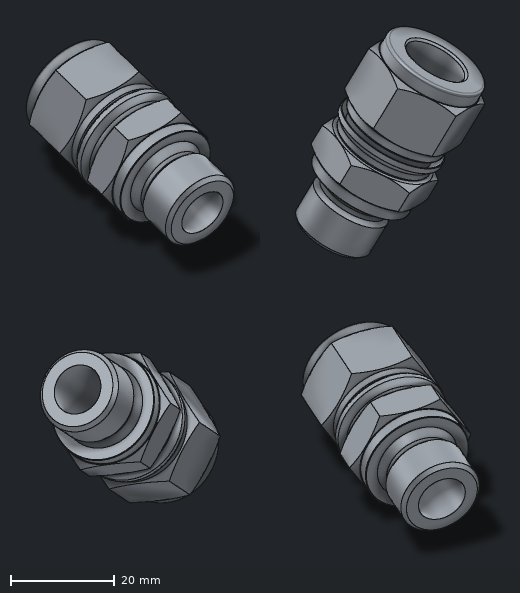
import cadquery as cq
import math

length = 43.2
hex_corner_dia = 25.65
hex_face_dia = 22.1
hex_bevel_angle = 30.0

nut_collar_dia = 21.77
nut_collar_fillet = 0.55
nut_hex_start = 3.0
nut_hex_end = 15.1
nut_tail_dia = 21.5
nut_tail_end = 17.1
nut_tail_chamfer_length = 0.3
nut_tail_chamfer_height = 0.17

neck_dia = 18.9
flange_dia = 23.0
flange_start = 17.85
flange_rim_end = 19.05
flange_hub_dia = 20.6
flange_hub_start = 20.3
flange_hub_end = 21.65
flange_hub_tip_dia = 20.05
flange_rim_width = 0.25

body_hex_start = 22.05
body_hex_end = 28.7
shoulder_dia = 21.77
shoulder_end = 31.15
shoulder_chamfer = 0.15

cone_dia = 16.85
groove_dia = 14.7
groove_start = 33.1
groove_end = 34.15
thread_dia = 16.65
thread_start = 35.1
thread_chamfer = 0.8

bore_dia = 9.9
socket_dia = 12.9
socket_depth = 22.9
socket_chamfer = 0.48


def round_stock(start, end, diameter):
    return cq.Workplane("YZ", origin=(start, 0, 0)).circle(diameter / 2).extrude(end - start)


def revolved(profile):
    """Revolve a closed outline of (x, radius) points about the X axis."""
    return cq.Workplane("XY").polyline(profile).close().revolve(360, (0, 0, 0), (1, 0, 0))


def bevelled_hex(start, end, start_face_dia, end_face_dia):
    """Hexagon with corners on +Y and -Y, coned at both ends down to round faces."""
    corner_radius = hex_corner_dia / 2
    bevel_slope = math.tan(math.radians(hex_bevel_angle))
    start_bevel = (corner_radius - start_face_dia / 2) * bevel_slope
    end_bevel = (corner_radius - end_face_dia / 2) * bevel_slope
    prism = cq.Workplane("YZ", origin=(start, 0, 0)).polygon(6, hex_corner_dia).extrude(end - start)
    envelope = revolved([
        (start, 0),
        (start, start_face_dia / 2),
        (start + start_bevel, corner_radius),
        (end - end_bevel, corner_radius),
        (end, end_face_dia / 2),
        (end, 0),
    ])
    return prism.intersect(envelope)


def tube_nut():
    collar = round_stock(0, nut_hex_start, nut_collar_dia).faces("<X").edges().fillet(nut_collar_fillet)
    tail = revolved([
        (nut_hex_end, 0),
        (nut_hex_end, nut_tail_dia / 2),
        (nut_tail_end - nut_tail_chamfer_length, nut_tail_dia / 2),
        (nut_tail_end, nut_tail_dia / 2 - nut_tail_chamfer_height),
        (nut_tail_end, 0),
    ])
    hexagon = bevelled_hex(nut_hex_start, nut_hex_end, hex_face_dia, nut_tail_dia)
    return collar.union(hexagon).union(tail)


def sealing_flange():
    """Cupped flange: a 45 degree recess around the neck opens towards the nut."""
    cup_mouth_radius = flange_dia / 2 - flange_rim_width
    cup_depth = cup_mouth_radius - neck_dia / 2
    return revolved([
        (flange_start, 0),
        (flange_start, neck_dia / 2),
        (flange_start + cup_depth, neck_dia / 2),
        (flange_start, cup_mouth_radius),
        (flange_start, flange_dia / 2),
        (flange_rim_end, flange_dia / 2),
        (flange_hub_start, flange_hub_dia / 2),
        (flange_hub_end, flange_hub_dia / 2),
        (body_hex_start, flange_hub_tip_dia / 2),
        (body_hex_start, 0),
    ])


def threaded_end():
    return revolved([
        (shoulder_end, 0),
        (shoulder_end, cone_dia / 2),
        (groove_start, groove_dia / 2),
        (groove_end, groove_dia / 2),
        (thread_start, thread_dia / 2),
        (length - thread_chamfer, thread_dia / 2),
        (length, thread_dia / 2 - thread_chamfer),
        (length, 0),
    ])


def stepped_bore():
    return revolved([
        (0, 0),
        (0, socket_dia / 2 + socket_chamfer),
        (socket_chamfer, socket_dia / 2),
        (socket_depth, socket_dia / 2),
        (socket_depth, bore_dia / 2),
        (length, bore_dia / 2),
        (length, 0),
    ])


neck = round_stock(nut_tail_end, flange_start, neck_dia)
shoulder = round_stock(body_hex_end, shoulder_end, shoulder_dia).faces(">X").chamfer(shoulder_chamfer)

result = (
    tube_nut()
    .union(neck)
    .union(sealing_flange())
    .union(bevelled_hex(body_hex_start, body_hex_end, hex_face_dia, hex_face_dia))
    .union(shoulder)
    .union(threaded_end())
    .cut(stepped_bore())
)